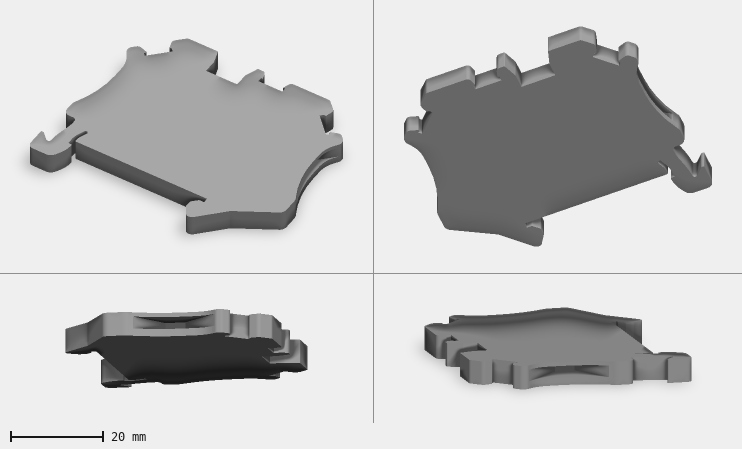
import cadquery as cq
import math


LENGTH = 57.8
THICKNESS = 5.15
TOP_Y = 46.9
BODY_HALF_WIDTH = 28.4
HOOK_X = BODY_HALF_WIDTH - LENGTH
RAIL_Y = 6.75
LIP_Y = 5.55

WAIST_HALF_WIDTH = 25.2
EAR_HALF_WIDTH = 27.3
FLANK_BOTTOM_Y = 12.85

GAP_LEFT = -9.4
GAP_RIGHT = -1.5
GAP_FLOOR_Y = 40.4
GAP_SLOPE_Y = 43.65
GAP_LEFT_LEAN = 1.05
GAP_RIGHT_LEAN = 1.2
SEAT_MID_X = 4.85
SEAT_HALF_WIDTH = 3.05
SEAT_FLOOR_Y = 43.7
SEAT_LIP_Y = 44.8
SEAT_LIP = 0.45
SEAT_TOP_HALF_WIDTH = 3.25

EDGE_R = 0.2
BLOCK_R = 0.9
EAR_R = 1.05

POCKET_Z = 1.6
POCKET_HEIGHT = 2.6
POCKET_TOP_Y = 36.05
POCKET_BOTTOM_Y = 18.2
POCKET_FLOOR_HALF_WIDTH = 18.8
POCKET_FLOOR_LOW_Y = 23.5
POCKET_TOP_HALF_WIDTH = 26.95
POCKET_BOTTOM_HALF_WIDTH = 27.7
POCKET_OVERCUT = 2.9



def side_corners(side):
    """One side from the top edge down to the lower flank; side is -1 or +1."""
    corners = [
        (18.1, TOP_Y, BLOCK_R),
        (20.6, 44.45, EAR_R),
        (19.95, 42.3, 0),
        (19.35, 42.3, 0),
        (18.7, 41.7, 0),
        (23.05, 37.35, 0),
        (23.75, 38.05, 0),
        (23.4, 38.05, 0),
        (23.4, 38.55, 0),
        (25.7, 39.3, EAR_R),
        (EAR_HALF_WIDTH, 37.75, EAR_R),
        (EAR_HALF_WIDTH, 36.5, EAR_R),
        (WAIST_HALF_WIDTH, 33.6, 6.95),
        (WAIST_HALF_WIDTH, 22.7, 24.3),
        (BODY_HALF_WIDTH, 16.7, 2.3),
    ]
    return [(side * x, y, r) for x, y, r in corners]


def hook_corners():
    """Flexible hook below the left flank and the slot that frees it from the body."""
    stem_top_x = -25.0
    lip_x = -21.55
    slot_left_x = -22.5
    slot_right_x = -21.5
    slot_top_y = 10.7
    return [
        (-BODY_HALF_WIDTH, FLANK_BOTTOM_Y, 1.5),
        (stem_top_x, FLANK_BOTTOM_Y, 0.85),
        (stem_top_x, 10.5, 8.1),
        (-26.0, 6.3, 17.35),
        (-26.2, 3.0, 0.6),
        (-28.8, 5.6, EDGE_R),
        (HOOK_X, 5.6, EDGE_R),
        (HOOK_X, 0, 1.4),
        (-23.5, 0, 2.0),
        (lip_x, 3.45, 6.95),
        (lip_x, LIP_Y, EDGE_R),
        (slot_left_x, LIP_Y, 0),
        (slot_left_x, 8.1, 5.2),
        (-21.4, slot_top_y, EDGE_R),
        (-20.45, slot_top_y, 0.35),
        (slot_right_x, 8.15, 3.45),
        (slot_right_x, RAIL_Y, 0.25),
    ]


def foot_corners():
    """Rigid foot that grips the other edge of the rail, up to the right flank."""
    notch_x = 12.1
    foot_x = 9.4
    return [
        (notch_x, RAIL_Y, 0),
        (notch_x, LIP_Y, EDGE_R),
        (10.85, LIP_Y, 0.3),
        (foot_x, 4.1, EDGE_R),
        (foot_x, 2.4, 0.6),
        (11.05, 0, 0.8),
        (12.25, 0, 1.35),
        (18.4, 6.25, 0),
        (BODY_HALF_WIDTH, 11.95, 1.75),
    ]


def top_corners():
    """Top edge between the two outer blocks, from right to left."""
    right_wall = SEAT_MID_X + SEAT_HALF_WIDTH
    left_wall = SEAT_MID_X - SEAT_HALF_WIDTH
    return [
        (SEAT_MID_X + SEAT_TOP_HALF_WIDTH, TOP_Y, BLOCK_R),
        (right_wall - SEAT_LIP, SEAT_LIP_Y, 0),
        (right_wall, SEAT_LIP_Y, 0),
        (right_wall, SEAT_FLOOR_Y, 0),
        (left_wall, SEAT_FLOOR_Y, 0),
        (left_wall, SEAT_LIP_Y, 0),
        (left_wall + SEAT_LIP, SEAT_LIP_Y, 0),
        (SEAT_MID_X - SEAT_TOP_HALF_WIDTH, TOP_Y, BLOCK_R),
        (GAP_RIGHT + GAP_RIGHT_LEAN, TOP_Y, EDGE_R),
        (GAP_RIGHT, GAP_SLOPE_Y, 0),
        (GAP_RIGHT, GAP_FLOOR_Y, 0),
        (GAP_LEFT, GAP_FLOOR_Y, 0),
        (GAP_LEFT, GAP_SLOPE_Y, 0),
        (GAP_LEFT - GAP_LEFT_LEAN, TOP_Y, EDGE_R),
    ]


def rounded_corner(before, corner, after):
    """Start, middle and end points of the arc that rounds one corner."""
    x, y, radius = corner
    to_before = cq.Vector(before[0] - x, before[1] - y).normalized()
    to_after = cq.Vector(after[0] - x, after[1] - y).normalized()
    half_angle = to_before.getAngle(to_after) / 2
    tip = cq.Vector(x, y)
    tangent_length = radius / math.tan(half_angle)
    bulge = radius / math.sin(half_angle) - radius
    bisector = (to_before + to_after).normalized()
    start = tip + to_before * tangent_length
    end = tip + to_after * tangent_length
    return start.toTuple()[:2], (tip + bisector * bulge).toTuple()[:2], end.toTuple()[:2]


def rounded_outline(corners):
    """Closed outline through the corners, each rounded by its own radius."""
    outline = cq.Workplane("XY").moveTo(*corners[0][:2])
    for i in range(1, len(corners)):
        corner = corners[i]
        if corner[2] == 0:
            outline = outline.lineTo(*corner[:2])
        else:
            after = corners[(i + 1) % len(corners)]
            start, middle, end = rounded_corner(corners[i - 1], corner, after)
            outline = outline.lineTo(*start).threePointArc(middle, end)
    return outline.close()


def wire_pocket(side):
    """Cutter for the funnel-shaped wire entry in one flank."""
    floor_top_y = POCKET_TOP_Y - (POCKET_TOP_HALF_WIDTH - POCKET_FLOOR_HALF_WIDTH)
    outside = BODY_HALF_WIDTH + POCKET_OVERCUT
    points = [
        (outside, POCKET_TOP_Y),
        (POCKET_TOP_HALF_WIDTH, POCKET_TOP_Y),
        (POCKET_FLOOR_HALF_WIDTH, floor_top_y),
        (POCKET_FLOOR_HALF_WIDTH, POCKET_FLOOR_LOW_Y),
        (POCKET_BOTTOM_HALF_WIDTH, POCKET_BOTTOM_Y),
        (outside, POCKET_BOTTOM_Y),
    ]
    profile = cq.Workplane("XY").workplane(offset=POCKET_Z)
    return profile.polyline([(side * x, y) for x, y in points]).close().extrude(POCKET_HEIGHT)


outline_corners = (
    foot_corners()
    + side_corners(1)[::-1]
    + top_corners()
    + side_corners(-1)
    + hook_corners()
)
result = rounded_outline(outline_corners).extrude(THICKNESS)
for side in (-1, 1):
    result = result.cut(wire_pocket(side))